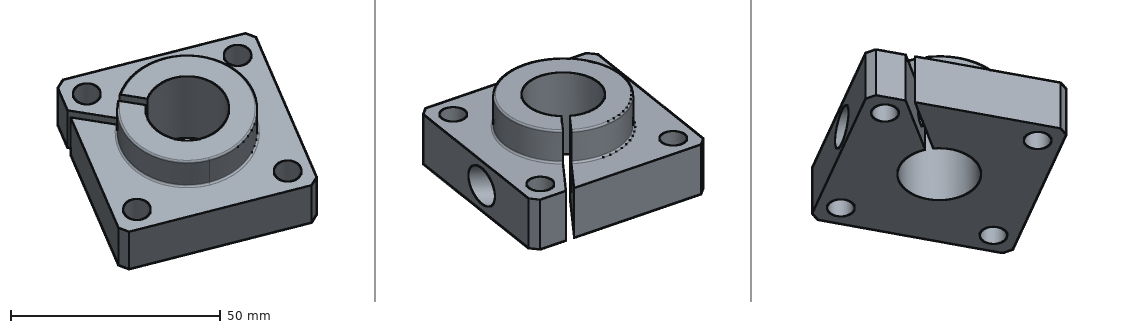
import cadquery as cq
import math

plate_side = 50
plate_height = 14
corner_chamfer = 2

total_height = 23
boss_diameter = 33.5
boss_edge_radius = 0.5
bore_diameter = 20

mount_pitch = 38
mount_diameter = 6.6

slot_width = 2
slot_angle = 240

screw_radius_from_axis = 14.7
screw_height = plate_height / 2
head_diameter = 10
head_seat_distance = 12
clearance_diameter = 5.5
tap_diameter = 4.15
tap_depth = 12.5


def make_body():
    """Chamfered plate with a boss blended into its top face."""
    plate = (
        cq.Workplane("XY")
        .rect(plate_side, plate_side)
        .extrude(plate_height)
        .edges("|Z")
        .chamfer(corner_chamfer)
    )
    boss_radius = boss_diameter / 2
    edge = boss_edge_radius
    arc_inset = edge * (1 - math.sqrt(0.5))

    boss = (
        cq.Workplane("XZ")
        .lineTo(boss_radius + edge, 0)
        .lineTo(boss_radius + edge, plate_height)
        .threePointArc(
            (boss_radius + arc_inset, plate_height + arc_inset),
            (boss_radius, plate_height + edge),
        )
        .lineTo(boss_radius, total_height - edge)
        .threePointArc(
            (boss_radius - arc_inset, total_height - arc_inset),
            (boss_radius - edge, total_height),
        )
        .lineTo(0, total_height)
        .close()
        .revolve(360, (0, 0, 0), (0, 1, 0))
    )
    return plate.union(boss)


def make_bore():
    return cq.Workplane("XY").circle(bore_diameter / 2).extrude(total_height)


def make_mount_holes():
    return (
        cq.Workplane("XY")
        .rect(mount_pitch, mount_pitch, forConstruction=True)
        .vertices()
        .circle(mount_diameter / 2)
        .extrude(plate_height)
    )


def make_slot():
    """Slot from the shaft axis out through the plate's edge."""
    return (
        cq.Workplane("XY")
        .box(plate_side, slot_width, total_height, centered=(False, True, False))
        .rotate((0, 0, 0), (0, 0, 1), slot_angle)
    )


def make_screw_hole():
    """Counterbore and clearance hole up to the slot, tapped hole beyond it."""
    angle = math.radians(slot_angle)
    screw_plane = cq.Plane(
        origin=(
            screw_radius_from_axis * math.cos(angle),
            screw_radius_from_axis * math.sin(angle),
            screw_height,
        ),
        xDir=(0, 0, 1),
        normal=(-math.sin(angle), math.cos(angle), 0),
    )

    def cylinder(diameter, start, end):
        return (
            cq.Workplane(screw_plane)
            .workplane(offset=start)
            .circle(diameter / 2)
            .extrude(end - start)
        )

    head = cylinder(head_diameter, -plate_side, -head_seat_distance)
    clearance = cylinder(clearance_diameter, -head_seat_distance, 0)
    tapped = cylinder(tap_diameter, 0, tap_depth)
    return head.union(clearance).union(tapped)


result = (
    make_body()
    .cut(make_bore())
    .cut(make_mount_holes())
    .cut(make_slot())
    .cut(make_screw_hole())
)